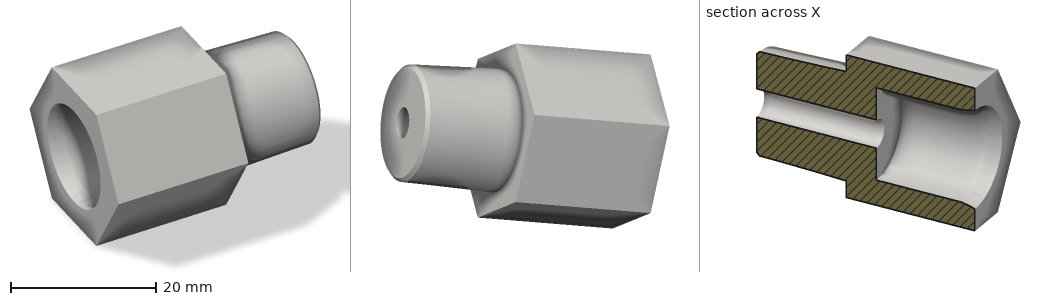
import cadquery as cq
import math

total_length = 34.55
hex_length = 20.38
across_flats = 22.25

spigot_base_diameter = 17.13
spigot_tip_diameter = 16.3
tip_chamfer = 0.52

bore_mouth_diameter = 15.35
bore_diameter = 14.3
lead_in_depth = 2.25
bore_depth = 15.55
through_diameter = 4.35

across_corners = across_flats / math.cos(math.radians(30))
open_face_y = -total_length / 2
tip_y = total_length / 2
shoulder_y = open_face_y + hex_length


def toward_tip(y):
    """XZ workplane at the given Y whose extrusions run toward +Y."""
    return cq.Workplane(cq.Plane(origin=(0, y, 0), xDir=(1, 0, 0), normal=(0, 1, 0)))


def revolved(profile):
    """Solid of revolution about Y from (radius, y) points."""
    half_section = [(-radius, y) for radius, y in profile]
    return cq.Workplane("XY").polyline(half_section).close().revolve(360, (0, 0, 0), (0, 1, 0))


hexagon = toward_tip(open_face_y).polygon(6, across_corners).extrude(hex_length)

spigot = revolved([
    (0, shoulder_y),
    (spigot_base_diameter / 2, shoulder_y),
    (spigot_tip_diameter / 2, tip_y - tip_chamfer),
    (spigot_tip_diameter / 2 - tip_chamfer, tip_y),
    (0, tip_y),
])

bore = revolved([
    (0, open_face_y),
    (bore_mouth_diameter / 2, open_face_y),
    (bore_diameter / 2, open_face_y + lead_in_depth),
    (bore_diameter / 2, open_face_y + bore_depth),
    (0, open_face_y + bore_depth),
])

through_hole = toward_tip(open_face_y).circle(through_diameter / 2).extrude(total_length)

result = hexagon.union(spigot).cut(bore).cut(through_hole)